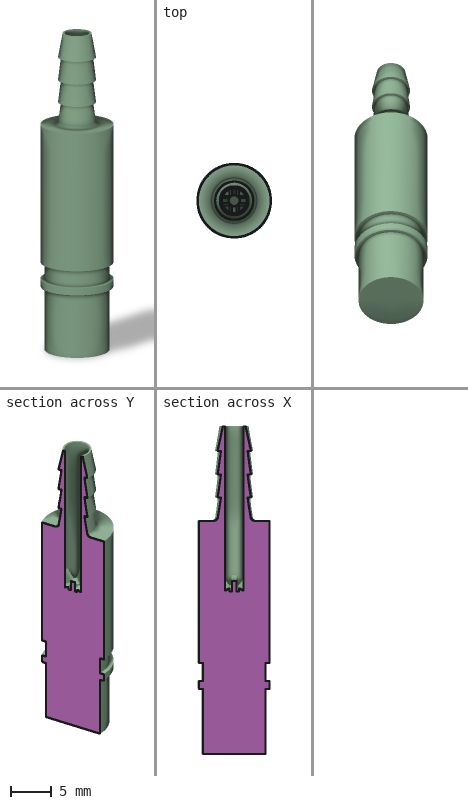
import cadquery as cq

total_height = 40.25
collar_bottom = 7.95
collar_top = 9.0
sleeve_bottom = 11.15
sleeve_top = 28.65

plug_radius = 4.0
sleeve_radius = 4.5
collar_chamfer = 0.12

tooth_shoulders = [31.48, 34.3, 37.2]
tooth_radius = 2.35
tooth_root_radius = 1.97
tip_radius = 1.77
stem_foot_radius = 2.3
root_fillet = 0.5

bore_radius = 1.53
bore_floor = 20.12
core_tip_radius = 0.7
core_height = 0.6

channel_count = 4
channel_width = 1.13
channel_depth = 0.4
rib_width = 0.6
rib_rise = 1.2
wall_overlap = 0.1

core_top = bore_floor + core_height
rib_top = core_top + rib_rise


def revolve_profile(profile):
    """Turn a closed radius-height profile around Z."""
    return profile.close().revolve(360, (0, 0, 0), (0, 1, 0))


def make_outer_body():
    """Plug, collar, sleeve and barbed stem as one turned solid."""
    foot_outer_radius = stem_foot_radius + root_fillet
    profile = (
        cq.Workplane("XZ")
        .lineTo(plug_radius, 0)
        .lineTo(plug_radius, collar_bottom)
        .lineTo(sleeve_radius - collar_chamfer, collar_bottom)
        .lineTo(sleeve_radius, collar_bottom + collar_chamfer)
        .lineTo(sleeve_radius, collar_top)
        .lineTo(plug_radius, collar_top)
        .lineTo(plug_radius, sleeve_bottom)
        .lineTo(sleeve_radius, sleeve_bottom)
        .lineTo(sleeve_radius, sleeve_top)
        .lineTo(foot_outer_radius, sleeve_top)
        .radiusArc((stem_foot_radius, sleeve_top + root_fillet), root_fillet)
    )
    for shoulder in tooth_shoulders:
        profile = profile.lineTo(tooth_root_radius, shoulder)
        profile = profile.lineTo(tooth_radius, shoulder)
    profile = profile.lineTo(tip_radius, total_height).lineTo(0, total_height)
    return revolve_profile(profile)


def make_bore():
    """Bore down to the channel floors, around a flat-topped core."""
    profile = (
        cq.Workplane("XZ")
        .moveTo(0, core_top)
        .lineTo(core_tip_radius, core_top)
        .lineTo(core_tip_radius, core_top - channel_depth)
        .lineTo(bore_radius, bore_floor - channel_depth)
        .lineTo(bore_radius, total_height)
        .lineTo(0, total_height)
    )
    return revolve_profile(profile)


def make_core_ring(height_at_wall):
    """Ring between core and bore wall, its sloping top going from the core tip to the given height."""
    ring_bottom = bore_floor - channel_depth - wall_overlap
    profile = (
        cq.Workplane("XZ")
        .moveTo(core_tip_radius, core_top)
        .lineTo(bore_radius, height_at_wall)
        .lineTo(bore_radius + wall_overlap, height_at_wall)
        .lineTo(bore_radius + wall_overlap, ring_bottom)
        .lineTo(core_tip_radius, ring_bottom)
    )
    return revolve_profile(profile)


def make_arms(width):
    """Upright radial slabs, evenly spaced, that pick the channels or ribs out of a ring."""
    slab_bottom = bore_floor - channel_depth - 2 * wall_overlap
    slab_length = bore_radius + 2 * wall_overlap
    arms = cq.Workplane("XY")
    for index in range(channel_count):
        arm = cq.Workplane("XY", origin=(0, 0, slab_bottom)).box(
            slab_length, width, rib_top - slab_bottom, centered=(False, True, False)
        )
        arms = arms.union(arm.rotate((0, 0, 0), (0, 0, 1), index * 360 / channel_count))
    return arms


pads = make_core_ring(bore_floor).cut(make_arms(channel_width))
ribs = make_core_ring(rib_top).intersect(make_arms(rib_width))

result = make_outer_body().cut(make_bore()).union(pads).union(ribs)